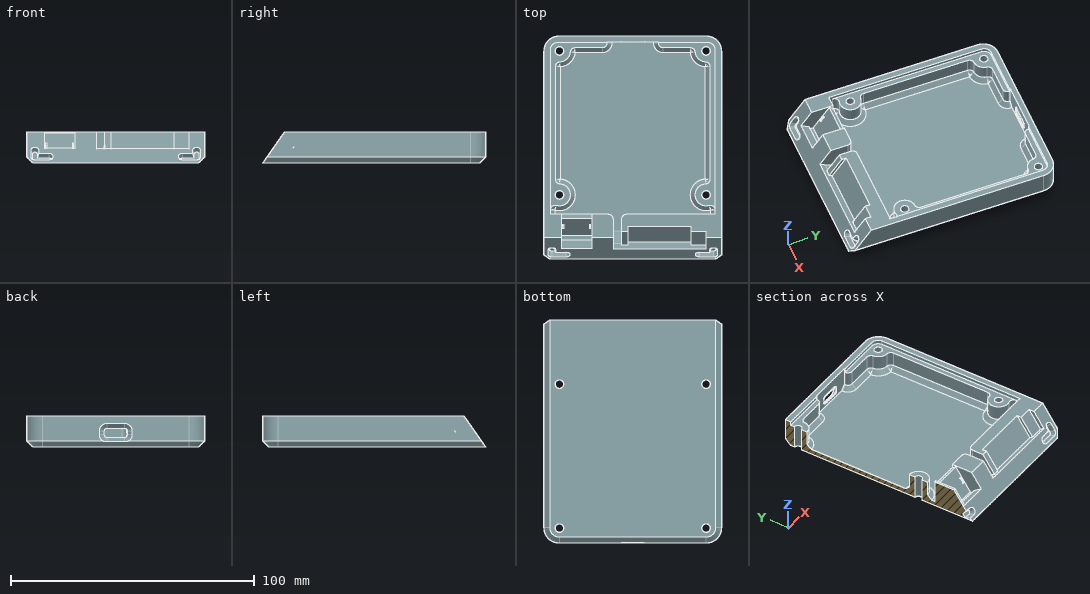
import cadquery as cq
import math

WIDTH = 73.1
LENGTH = 91.67
HEIGHT = 12.8
FRONT_TILT = 35.0
CORNER_RADIUS = 6.4
BASE_CHAMFER = 2.5
FLOOR_Z = 2.4
OVERCUT = 5.0

TILT_SIN = math.sin(math.radians(FRONT_TILT))
TILT_COS = math.cos(math.radians(FRONT_TILT))
TILT_TAN = TILT_SIN / TILT_COS
HALF_WIDTH = WIDTH / 2

RIM_WALL = 2.7
LEDGE_DEPTH = 1.8
RECESS_RADIUS = 3.0
RECESS_HALF_WIDTH = HALF_WIDTH - RIM_WALL
RECESS_FRONT = 18.45
RECESS_BACK = LENGTH - RIM_WALL

FLOOR_BEVEL = 2.0
SIDE_WALL = 4.8
BACK_WALL = 4.85
FLOOR_HALF_WIDTH = HALF_WIDTH - SIDE_WALL - FLOOR_BEVEL
FLOOR_FRONT_HALF_WIDTH = RECESS_HALF_WIDTH - FLOOR_BEVEL
FLOOR_BACK = LENGTH - BACK_WALL - FLOOR_BEVEL

BOSS_X = 30.1
BOSS_FRONT_Y = 26.4
BOSS_BACK_Y = 85.5
BOSS_RADIUS = 4.5
BOSS_FOOT_RADIUS = BOSS_RADIUS + FLOOR_BEVEL
SCREW_HOLE_DIAMETER = 3.4

GAP_HALF_WIDTH = 10.5
GAP_WALL = 2.4
GAP_FOOT_RADIUS = 4.0
PORT_WIDTH = 9.5
PORT_HEIGHT = 3.8
PORT_RADIUS = 1.2
PORT_X = 0.0
PORT_Z = 5.85
PORT_LIP = 0.4

POCKET_LEFT = -8.0
POCKET_RIGHT = 30.0
POCKET_SILL_Z = 5.95
POCKET_DEPTH = 2.0
POCKET_STEP_WIDTH = 6.0
POCKET_INNER_DEPTH = 3.6
CHANNEL_WIDTH = 3.4
CHANNEL_ROUND = 2.0
CHANNEL_RAMP_START = 6.45
CHANNEL_RAMP_END = 11.5

SWITCH_LEFT = -29.3
SWITCH_WIDTH = 12.5
SWITCH_SILL_Z = 6.15
SWITCH_SILL_BACK = 7.95
SWITCH_RIDGE_Y = 16.8
SWITCH_RIDGE_Z = 12.3
SWITCH_FLOOR_Z = 2.1
PIN_HOLE_WIDTH = 0.5
PIN_HOLE_HEIGHT = 2.5
PIN_HOLE_DEPTH = 1.6
PIN_HOLE_INSET = 0.5
PIN_HOLE_Z = 7.2

STRAP_WIDTH = 3.3
STRAP_DEPTH = 2.5
STRAP_TAPER = 15.0
STRAP_CORNER_X = 33.2
STRAP_INNER_X = 27.4
STRAP_LOW = 3.3
STRAP_HIGH = 6.3


def prism_x(left, right, points):
    """Extrude a closed YZ polygon from x = left to x = right."""
    return cq.Workplane("YZ", origin=(left, 0, 0)).polyline(points).close().extrude(right - left)


def box(x_range, y_range, z_range):
    """Axis-aligned block given by its limits."""
    sizes = [high - low for low, high in (x_range, y_range, z_range)]
    corner = (x_range[0], y_range[0], z_range[0])
    return cq.Workplane("XY").box(*sizes, centered=False).translate(corner)


def inward(point, depth):
    """Move a (y, z) point perpendicular to the front face, into the body."""
    return (point[0] + depth * TILT_COS, point[1] - depth * TILT_SIN)


def up_slope(point, height):
    """Slide a (y, z) point parallel to the front face up to the given z."""
    return (point[0] + (height - point[1]) * TILT_TAN, height)


def on_face(height):
    """(y, z) point of the front face at the given z."""
    return (height * TILT_TAN, height)


def make_body():
    """Block with rounded back corners, a chamfered underside and a tilted front face."""
    body = box((-HALF_WIDTH, HALF_WIDTH), (0, LENGTH), (0, HEIGHT))
    body = body.edges("|Z and >Y").fillet(CORNER_RADIUS)
    body = body.faces("<Z").edges("not <Y").chamfer(BASE_CHAMFER)
    top = HEIGHT + OVERCUT
    front_wedge = [on_face(-OVERCUT), on_face(top), (-LENGTH, top), (-LENGTH, -OVERCUT)]
    return body.cut(prism_x(-WIDTH, WIDTH, front_wedge))


def lid_recess():
    """Shallow recess that leaves a ledge for the lid."""
    recess = box(
        (-RECESS_HALF_WIDTH, RECESS_HALF_WIDTH),
        (RECESS_FRONT, RECESS_BACK),
        (HEIGHT - LEDGE_DEPTH, HEIGHT + OVERCUT),
    )
    return recess.edges("|Z and >Y").fillet(RECESS_RADIUS)


def add_side(path, points):
    """Follow one side of the floor edge: three times a line and an arc, then a last line."""
    for first in (1, 4, 7):
        line_end, arc_middle, arc_end = points[first : first + 3]
        path = path.lineTo(*line_end).threePointArc(arc_middle, arc_end)
    return path.lineTo(*points[-1])


def floor_outline():
    """Cavity floor edge at the foot of the bevels, open towards the front and the connector gap."""
    radius = BOSS_FOOT_RADIUS
    front = RECESS_FRONT - OVERCUT
    back = LENGTH + OVERCUT
    gap_foot_x = GAP_HALF_WIDTH - FLOOR_BEVEL
    gap_arc_x = gap_foot_x + GAP_FOOT_RADIUS
    gap_arc_y = FLOOR_BACK + GAP_FOOT_RADIUS
    half_chord = GAP_FOOT_RADIUS * math.sqrt(0.5)
    side_offset = BOSS_X - FLOOR_HALF_WIDTH
    side_rise = math.sqrt(radius**2 - side_offset**2)
    front_drop = math.sqrt(radius**2 - (FLOOR_FRONT_HALF_WIDTH - BOSS_X) ** 2)
    back_offset = BOSS_BACK_Y - FLOOR_BACK
    back_reach = math.sqrt(radius**2 - back_offset**2)
    diagonal = radius * math.sqrt(0.5)

    def trace(side):
        """Points from the front to the connector gap on one side (side = -1 or +1)."""
        return [
            (side * FLOOR_FRONT_HALF_WIDTH, front),
            (side * FLOOR_FRONT_HALF_WIDTH, BOSS_FRONT_Y - front_drop),
            (side * (BOSS_X - radius), BOSS_FRONT_Y),
            (side * FLOOR_HALF_WIDTH, BOSS_FRONT_Y + side_rise),
            (side * FLOOR_HALF_WIDTH, BOSS_BACK_Y - side_rise),
            (side * (BOSS_X - diagonal), BOSS_BACK_Y - diagonal),
            (side * (BOSS_X - back_reach), FLOOR_BACK),
            (side * gap_arc_x, FLOOR_BACK),
            (side * (gap_arc_x - half_chord), gap_arc_y - half_chord),
            (side * gap_foot_x, gap_arc_y),
            (side * gap_foot_x, back),
        ]

    right_side = trace(1)
    left_side = trace(-1)[::-1]
    path = cq.Workplane("XY", origin=(0, 0, FLOOR_Z)).moveTo(*right_side[0])
    path = add_side(path, right_side).lineTo(*left_side[0])
    return add_side(path, left_side).close()


def cavity():
    """Main hollow: a bevelled layer on the floor with straight walls above it."""
    bevel_top = FLOOR_Z + FLOOR_BEVEL
    bevelled = floor_outline().extrude(FLOOR_BEVEL, taper=-45)
    straight = floor_outline().offset2D(FLOOR_BEVEL).extrude(HEIGHT - FLOOR_Z)
    straight = straight.intersect(box((-WIDTH, WIDTH), (0, 2 * LENGTH), (bevel_top, HEIGHT)))
    limits = box((-WIDTH, WIDTH), (RECESS_FRONT, LENGTH - GAP_WALL), (0, HEIGHT))
    return bevelled.union(straight).intersect(limits)


def screw_holes():
    """Through holes in the four corner bosses."""
    centres = [(sx * BOSS_X, y) for sx in (-1, 1) for y in (BOSS_FRONT_Y, BOSS_BACK_Y)]
    return cq.Workplane("XY").pushPoints(centres).circle(SCREW_HOLE_DIAMETER / 2).extrude(HEIGHT)


def port_outline(grow, y):
    """Rounded rectangle of the port at the given y, enlarged by grow on every side."""
    width = PORT_WIDTH + 2 * grow
    height = PORT_HEIGHT + 2 * grow
    sketch = cq.Sketch().rect(width, height).vertices().fillet(PORT_RADIUS + grow)
    return cq.Workplane("XZ", origin=(PORT_X, y, PORT_Z)).placeSketch(sketch)


def connector_port():
    """Short straight opening that flares at 45 degrees to the outside of the back wall."""
    flare_start = LENGTH - GAP_WALL + PORT_LIP
    straight = port_outline(0, flare_start).extrude(PORT_LIP + OVERCUT)
    flare = port_outline(0, flare_start).extrude(flare_start - LENGTH, taper=-45)
    return straight.union(flare)


def face_pocket(left, right, depth):
    """Pocket parallel to the front face, open at the top, with a square sill at the bottom."""
    sill = on_face(POCKET_SILL_Z)
    top = HEIGHT + OVERCUT
    outer = inward(sill, -OVERCUT)
    inner = inward(sill, depth)
    return prism_x(left, right, [outer, inner, up_slope(inner, top), up_slope(outer, top)])


def channel():
    """Cable channel whose floor curves up from the cavity floor to the pocket sill."""
    right = POCKET_LEFT + CHANNEL_WIDTH
    top = HEIGHT + OVERCUT
    sill = on_face(POCKET_SILL_Z)
    ramp_start = inward(sill, (CHANNEL_RAMP_START - sill[0]) / TILT_COS)
    ramp_end = (CHANNEL_RAMP_END, FLOOR_Z)
    slot = (
        cq.Workplane("YZ", origin=(POCKET_LEFT, 0, 0))
        .moveTo(*sill)
        .lineTo(*ramp_start)
        .tangentArcPoint(ramp_end, relative=False)
        .lineTo(RECESS_FRONT, FLOOR_Z)
        .lineTo(RECESS_FRONT, top)
        .lineTo(*on_face(top))
        .close()
        .extrude(CHANNEL_WIDTH)
    )
    mouth = box(
        (POCKET_LEFT - CHANNEL_ROUND, right + CHANNEL_ROUND),
        (RECESS_FRONT - CHANNEL_ROUND, RECESS_FRONT),
        (FLOOR_Z, top),
    )
    for x in (POCKET_LEFT - CHANNEL_ROUND, right + CHANNEL_ROUND):
        post = cq.Workplane("XY").center(x, RECESS_FRONT - CHANNEL_ROUND).circle(CHANNEL_ROUND).extrude(top)
        mouth = mouth.cut(post)
    return slot.union(mouth)


def switch_opening():
    """Opening with a square sill, a sunken floor, a tilted back plane and two small pin holes in it."""
    right = SWITCH_LEFT + SWITCH_WIDTH
    top = HEIGHT + OVERCUT
    sill = on_face(SWITCH_SILL_Z)
    sill_back = inward(sill, (SWITCH_SILL_BACK - sill[0]) / TILT_COS)
    ridge = (SWITCH_RIDGE_Y, SWITCH_RIDGE_Z)
    ridge_back = inward(ridge, (RECESS_FRONT - SWITCH_RIDGE_Y) / TILT_COS)
    profile = [
        sill,
        sill_back,
        (SWITCH_SILL_BACK, SWITCH_FLOOR_Z),
        up_slope(ridge, SWITCH_FLOOR_Z),
        ridge,
        ridge_back,
        (RECESS_FRONT, top),
        on_face(top),
    ]
    opening = prism_x(SWITCH_LEFT, right, profile)
    half_rise = PIN_HOLE_HEIGHT * TILT_COS / 2
    low = up_slope(ridge, PIN_HOLE_Z - half_rise)
    high = up_slope(ridge, PIN_HOLE_Z + half_rise)
    pin_profile = [low, inward(low, PIN_HOLE_DEPTH), inward(high, PIN_HOLE_DEPTH), high]
    for x in (SWITCH_LEFT + PIN_HOLE_INSET, right - PIN_HOLE_INSET - PIN_HOLE_WIDTH):
        opening = opening.union(prism_x(x, x + PIN_HOLE_WIDTH, pin_profile))
    return opening


def strap_slot(side):
    """Tapered L-shaped slot sunk square to the front face; side = -1 left, +1 right."""
    corner_x = side * STRAP_CORNER_X
    face = cq.Plane(origin=(0, 0, 0), xDir=(1, 0, 0), normal=(0, -TILT_COS, TILT_SIN))
    length = STRAP_CORNER_X - STRAP_INNER_X
    across = (
        cq.Workplane(face)
        .center(corner_x - side * length / 2, STRAP_LOW)
        .slot2D(length + STRAP_WIDTH, STRAP_WIDTH)
        .extrude(-STRAP_DEPTH, taper=STRAP_TAPER)
    )
    rise = STRAP_HIGH - STRAP_LOW
    upright = (
        cq.Workplane(face)
        .center(corner_x, STRAP_LOW + rise / 2)
        .slot2D(rise + STRAP_WIDTH, STRAP_WIDTH, 90)
        .extrude(-STRAP_DEPTH, taper=STRAP_TAPER)
    )
    return across.union(upright)


result = make_body().cut(lid_recess()).cut(cavity()).cut(screw_holes()).cut(connector_port())
result = result.cut(face_pocket(POCKET_LEFT, POCKET_RIGHT, POCKET_DEPTH))
result = result.cut(
    face_pocket(POCKET_LEFT + POCKET_STEP_WIDTH, POCKET_RIGHT - POCKET_STEP_WIDTH, POCKET_INNER_DEPTH)
)
result = result.cut(channel()).cut(switch_opening())
for side in (-1, 1):
    result = result.cut(strap_slot(side))